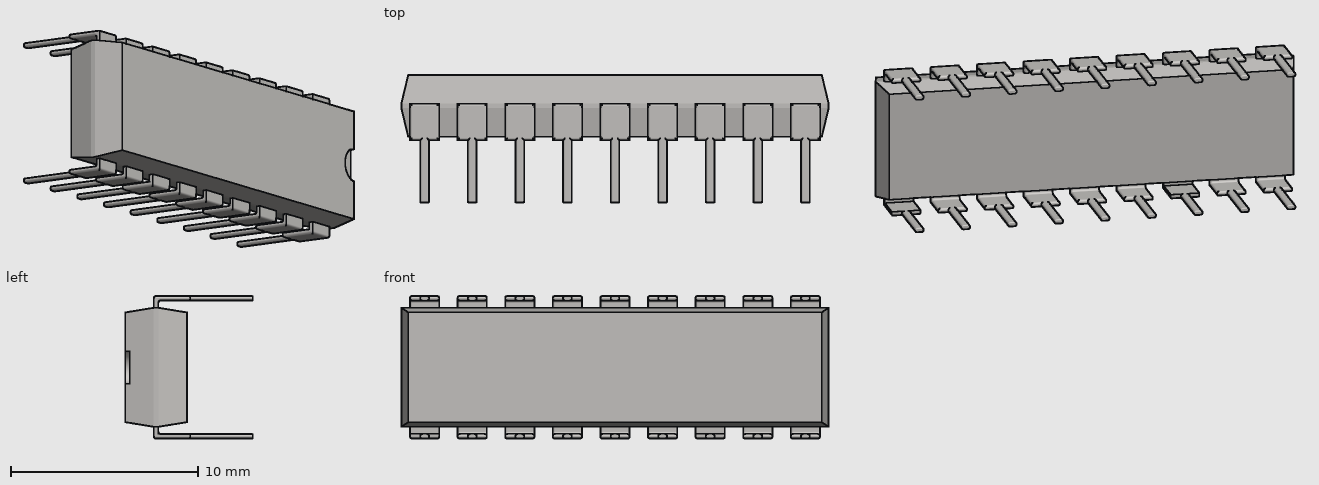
import cadquery as cq

BODY_LENGTH = 22.8
BODY_WIDTH = 6.35
BODY_DEPTH = 3.3
END_INSET = 0.36
SIDE_INSET = 0.25

NOTCH_RADIUS = 0.87
NOTCH_DEPTH = 0.25

LEADS_PER_ROW = 9
ROW_SPAN = 7.62
LEAD_PITCH = ROW_SPAN / 3
SHEET = 0.25
PLATE_WIDTH = 1.57
PLATE_LENGTH = 1.95
PIN_WIDTH = 0.48
OVERALL_DEPTH = 6.82
EDGE_RADIUS = SHEET / 2
TIP_RADIUS = 0.07
LEG_EMBED = 0.23
SHARP_INNER_LEADS = (0, 6)

BAND_FRONT = -SHEET / 2
BAND_BACK = SHEET / 2
BODY_BACK = BODY_DEPTH / 2
PIN_TIP = BODY_BACK - OVERALL_DEPTH
PLATE_FRONT = BAND_BACK - PLATE_LENGTH
OUTER_Z = ROW_SPAN / 2
INNER_Z = OUTER_Z - SHEET
LEG_ROOT_Z = BODY_WIDTH / 2 - LEG_EMBED


def box(x_size, y_range, z_range):
    """Box centred on X = 0 between the given Y and Z limits."""
    y_size = y_range[1] - y_range[0]
    z_size = z_range[1] - z_range[0]
    block = cq.Workplane("XY").box(x_size, y_size, z_size)
    return block.translate((0, sum(y_range) / 2, sum(z_range) / 2))


def tapered_half():
    """Half of the body from the band's back face to the back of the package."""
    return (
        cq.Workplane("XZ", origin=(0, BAND_BACK, 0))
        .rect(BODY_LENGTH, BODY_WIDTH)
        .workplane(offset=BAND_BACK - BODY_BACK)
        .rect(BODY_LENGTH - 2 * END_INSET, BODY_WIDTH - 2 * SIDE_INSET)
        .loft(ruled=True)
    )


def make_body():
    back = tapered_half()
    front = back.mirror("XZ")
    band = box(BODY_LENGTH, (BAND_FRONT, BAND_BACK), (-BODY_WIDTH / 2, BODY_WIDTH / 2))
    notch = (
        cq.Workplane("XZ", origin=(END_INSET - BODY_LENGTH / 2, BODY_BACK, 0))
        .circle(NOTCH_RADIUS)
        .extrude(NOTCH_DEPTH)
    )
    return band.union(back).union(front).cut(notch)


def make_bracket():
    """Sharp-edged upper lead at X = 0 without its pin: a leg and a wide plate at right angles."""
    leg = box(PLATE_WIDTH, (BAND_FRONT, BAND_BACK), (LEG_ROOT_Z, OUTER_Z))
    plate = box(PLATE_WIDTH, (PLATE_FRONT, BAND_BACK), (INNER_Z, OUTER_Z))
    return leg.union(plate)


def inner_edges():
    """Select the edges of the plate's underside and of the leg face below it."""
    reach = SHEET / 4
    underside = cq.selectors.BoxSelector(
        (-PLATE_WIDTH, PLATE_FRONT - reach, INNER_Z - reach),
        (PLATE_WIDTH, BAND_FRONT + reach, INNER_Z + reach),
    )
    leg_face = cq.selectors.BoxSelector(
        (-PLATE_WIDTH, BAND_FRONT - reach, LEG_ROOT_Z + reach),
        (PLATE_WIDTH, BAND_FRONT + reach, INNER_Z + reach),
    )
    return underside + leg_face


def make_pin():
    """Pin with half-round sides and a rounded tip, rooted well inside the plate."""
    root = PLATE_FRONT + SHEET
    pin = (
        cq.Workplane("XZ", origin=(0, root, (INNER_Z + OUTER_Z) / 2))
        .slot2D(PIN_WIDTH, SHEET)
        .extrude(root - PIN_TIP)
    )
    return pin.faces("<Y").edges().fillet(TIP_RADIUS)


def make_lead(round_inner):
    """Upper lead at X = 0, with or without rounded inner edges."""
    bracket = make_bracket()
    if round_inner:
        bracket = bracket.edges(inner_edges()).fillet(EDGE_RADIUS)
    envelope = box(PLATE_WIDTH, (PLATE_FRONT, BAND_BACK), (LEG_ROOT_Z, OUTER_Z))
    envelope = envelope.faces(">Z").edges().fillet(EDGE_RADIUS)
    return bracket.intersect(envelope).union(make_pin())


rounded_lead = make_lead(round_inner=True)
sharp_lead = make_lead(round_inner=False)

result = make_body()
for index in range(LEADS_PER_ROW):
    lead_x = (index - (LEADS_PER_ROW - 1) / 2) * LEAD_PITCH
    lower_lead = sharp_lead if index in SHARP_INNER_LEADS else rounded_lead
    result = result.union(rounded_lead.translate((lead_x, 0, 0)))
    result = result.union(lower_lead.mirror("XY").translate((lead_x, 0, 0)))